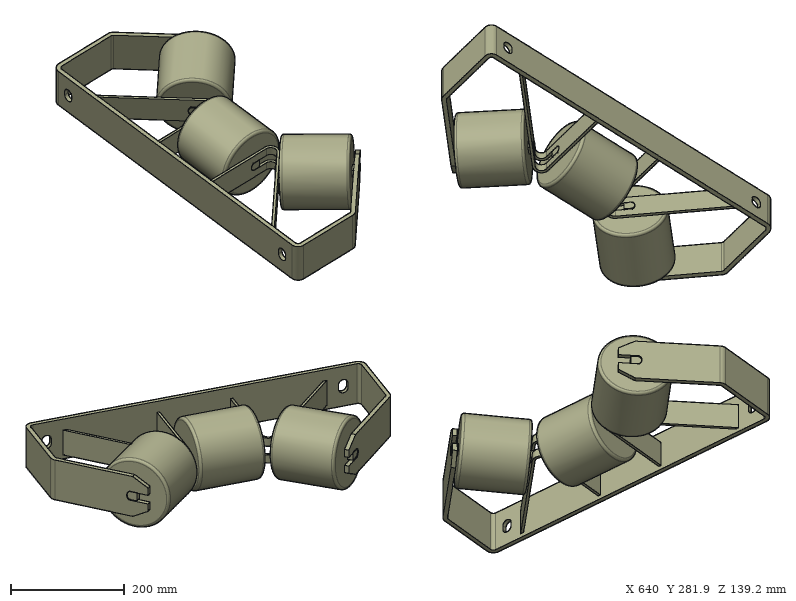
import cadquery as cq
import math


frame_length = 640.0
frame_height = 80.0
frame_thickness = 8.0
frame_bend_radius = 15.0
frame_arm_corner_y = 137.0
frame_arm_length = 185.0
arm_chamfer_along = 29.5
arm_chamfer_across = 16.5
mount_hole_width = 18.0
mount_hole_height = 26.0
mount_hole_edge_distance = 40.0

roller_diameter = 133.0
roller_length = 125.0
roller_fillet = 5.0
roller_gap = 4.15
shaft_radius = 9.5
shaft_flat_height = 9.5
shaft_width = 16.0
middle_roller_y = 126.0
roller_drop = 7.0
slot_width = 17.0
slot_end_radius = 9.9

bracket_thickness = 5.0
bracket_height = 50.0
bracket_bend_radius = 16.0

half_length = frame_length / 2
slant = 45.0
diagonal = math.sqrt(0.5)
roller_space = roller_length + 2 * roller_gap
bracket_face_x = roller_space / 2

side_axis_along_arm = 153.5
axis_start_x = -half_length + side_axis_along_arm * diagonal
axis_start_y = frame_arm_corner_y + side_axis_along_arm * diagonal
side_roller_offset = frame_thickness + roller_space / 2
side_roller_x = axis_start_x + side_roller_offset * diagonal
side_roller_y = axis_start_y - side_roller_offset * diagonal
bracket_offset = frame_thickness + roller_space
bracket_axis_x = axis_start_x + bracket_offset * diagonal
bracket_axis_y = axis_start_y - bracket_offset * diagonal
bracket_corner_y = bracket_axis_y - bracket_axis_x - bracket_face_x
side_shaft_length = roller_space + frame_thickness + bracket_thickness
side_roller_tilt = math.degrees(math.asin(roller_drop / side_shaft_length))


def inset_corners(points, distance):
    """Shift an open line of points to its right by a distance, with mitred corners."""
    shifted = []
    last = len(points) - 1
    for i, (x, y) in enumerate(points):
        normals = []
        for start, end in ((i - 1, i), (i, i + 1)):
            if start >= 0 and end <= last:
                dx = points[end][0] - points[start][0]
                dy = points[end][1] - points[start][1]
                length = math.hypot(dx, dy)
                normals.append((dy / length, -dx / length))
        first, second = normals[0], normals[-1]
        scale = distance / (1 + first[0] * second[0] + first[1] * second[1])
        shifted.append((x + scale * (first[0] + second[0]), y + scale * (first[1] + second[1])))
    return shifted


def bent_strip(outer_points, thickness, height, outer_radius):
    """Strip of upright plate along a line of outer corners, with rounded bends."""
    inner_points = inset_corners(outer_points, thickness)
    strip = (
        cq.Workplane("XY", origin=(0, 0, -height / 2))
        .polyline(outer_points + inner_points[::-1])
        .close()
        .extrude(height)
    )
    for points, radius in ((outer_points, outer_radius), (inner_points, outer_radius - thickness)):
        for x, y in points[1:-1]:
            strip = strip.edges("|Z").edges(cq.NearestToPointSelector((x, y, 0))).fillet(radius)
    return strip


def plate_slot(x, y, z, open_direction, depth_direction, length, depth):
    """Cutter for a slot that holds a shaft at (x, y, z) and runs off in one direction."""
    plane = cq.Plane(origin=(x, y, z), xDir=open_direction, normal=depth_direction)
    rounded_end = cq.Workplane(plane).circle(slot_end_radius).extrude(depth)
    run = cq.Workplane(plane).rect(2 * length, slot_width).extrude(depth)
    past_end = cq.Workplane(plane).center(-length, 0).rect(2 * length, slot_width).extrude(depth)
    return run.cut(past_end.cut(rounded_end))


def make_frame():
    tip_x = half_length - frame_arm_length * diagonal
    tip_y = frame_arm_corner_y + frame_arm_length * diagonal
    right_points = [(tip_x, tip_y), (half_length, frame_arm_corner_y), (half_length, 0)]
    left_points = [(-x, y) for x, y in reversed(right_points)]
    frame = bent_strip(right_points + left_points, frame_thickness, frame_height, frame_bend_radius)

    mount_holes = (
        cq.Workplane("XZ")
        .pushPoints([(side * (half_length - mount_hole_edge_distance), 0) for side in (-1, 1)])
        .slot2D(mount_hole_height, mount_hole_width, 90)
        .extrude(-frame_thickness)
    )
    frame = frame.cut(mount_holes)

    arm_plane = cq.Plane(
        origin=(-tip_x, tip_y, 0),
        xDir=(1, 1, 0),
        normal=(1, -1, 0),
    )
    half_height = frame_height / 2
    for side in (-1, 1):
        corner = (
            cq.Workplane(arm_plane)
            .polyline([
                (0, side * half_height),
                (-arm_chamfer_along, side * half_height),
                (0, side * (half_height - arm_chamfer_across)),
            ])
            .close()
            .extrude(frame_thickness)
        )
        frame = frame.cut(corner).cut(corner.mirror("YZ"))
    slot_length = frame_arm_length - side_axis_along_arm
    slot = plate_slot(
        axis_start_x, axis_start_y, 0, (1, 1, 0), (1, -1, 0), slot_length, frame_thickness
    )
    return frame.cut(slot).cut(slot.mirror("YZ"))


def make_left_bracket():
    outer_points = [
        (-bracket_face_x - bracket_corner_y, 0),
        (-bracket_face_x, bracket_corner_y),
        (-bracket_face_x, 0),
    ]
    bracket = bent_strip(outer_points, bracket_thickness, bracket_height, bracket_bend_radius)
    bracket = bracket.translate((0, 0, -roller_drop))
    frame_wall = cq.Workplane("XY").box(frame_length, 2 * frame_thickness, 2 * frame_height)
    bracket = bracket.cut(frame_wall)

    middle_slot = plate_slot(
        -bracket_face_x, middle_roller_y, -roller_drop, (0, 1, 0), (-1, 0, 0),
        bracket_corner_y - middle_roller_y, bracket_bend_radius,
    )
    side_slot = plate_slot(
        bracket_axis_x, bracket_axis_y, -roller_drop, (1, 1, 0), (1, -1, 0),
        (bracket_corner_y - bracket_axis_y) / diagonal, bracket_bend_radius,
    )
    return bracket.cut(middle_slot).cut(side_slot)


def make_roller(shaft_length):
    """Roller with its shaft, centred on the origin with its axis along X."""
    drum = (
        cq.Workplane("YZ", origin=(-roller_length / 2, 0, 0))
        .circle(roller_diameter / 2)
        .extrude(roller_length)
        .edges("%CIRCLE")
        .fillet(roller_fillet)
    )
    shaft_height = shaft_radius + shaft_flat_height
    shaft_block = cq.Workplane("XY").box(shaft_length, shaft_height, shaft_width)
    shaft_block = shaft_block.translate((0, shaft_flat_height - shaft_height / 2, 0))
    shaft_round = (
        cq.Workplane("YZ", origin=(-shaft_length / 2, 0, 0))
        .slot2D(2 * shaft_radius + 2 * shaft_height, 2 * shaft_radius)
        .extrude(shaft_length)
        .translate((0, shaft_height, 0))
    )
    return drum.union(shaft_block.intersect(shaft_round))


def make_left_roller():
    return (
        make_roller(side_shaft_length)
        .rotate((0, 0, 0), (0, 1, 0), side_roller_tilt)
        .rotate((0, 0, 0), (0, 0, 1), -slant)
        .translate((side_roller_x, side_roller_y, -roller_drop / 2))
    )


frame = make_frame()
left_bracket = make_left_bracket()
right_bracket = left_bracket.mirror("YZ")
middle_roller = make_roller(roller_space + 2 * bracket_thickness).translate(
    (0, middle_roller_y, -roller_drop)
)
left_roller = make_left_roller()
right_roller = left_roller.mirror("YZ")

result = cq.Compound.makeCompound([
    frame.val(),
    left_bracket.val(),
    right_bracket.val(),
    middle_roller.val(),
    left_roller.val(),
    right_roller.val(),
])